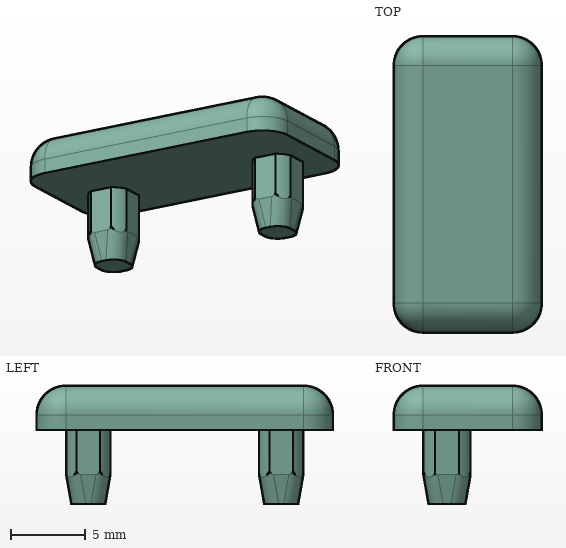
import cadquery as cq
import math

cap_width = 10.0
cap_length = 20.0
cap_height = 3.0
cap_radius = 2.0

peg_width = 3.2
peg_length = 3.0
peg_height = 5.0
peg_flat = 1.6
peg_corner_radius = 1.8
peg_center_x = -1.4
peg_center_y = cap_length / 2 - cap_radius - peg_length / 2

tip_height = 2.0
tip_angle = 10.0
tip_edge_radius = 1.0
taper_overrun = 1.0


def make_cap():
    block = cq.Workplane("XY").box(cap_width, cap_length, cap_height, centered=(True, True, False))
    return block.edges("|Z").fillet(cap_radius).faces(">Z").edges().fillet(cap_radius)


def make_shank():
    """Prism with four flats joined by shallow arcs, hanging below the cap."""
    half_width = peg_width / 2
    half_length = peg_length / 2
    half_flat = peg_flat / 2
    return (
        cq.Workplane("XY")
        .moveTo(-half_flat, -half_length)
        .lineTo(half_flat, -half_length)
        .radiusArc((half_width, -half_flat), -peg_corner_radius)
        .lineTo(half_width, half_flat)
        .radiusArc((half_flat, half_length), -peg_corner_radius)
        .lineTo(-half_flat, half_length)
        .radiusArc((-half_width, half_flat), -peg_corner_radius)
        .lineTo(-half_width, -half_flat)
        .radiusArc((-half_flat, -half_length), -peg_corner_radius)
        .close()
        .extrude(-peg_height)
    )


def make_taper():
    """Downward-narrowing frustum that meets the shank sides at the top of the tip."""
    widening = 2 * taper_overrun * math.tan(math.radians(tip_angle))
    frustum = (
        cq.Workplane("XY", origin=(0, 0, tip_height + taper_overrun - peg_height))
        .rect(peg_width + widening, peg_length + widening)
        .extrude(-(tip_height + taper_overrun), taper=tip_angle)
    )
    slanted_edges = frustum.edges("not #Z")
    return slanted_edges.fillet(tip_edge_radius)


def make_peg():
    straight_height = peg_height - tip_height - taper_overrun
    upper_block = (
        cq.Workplane("XY")
        .rect(peg_width, peg_length)
        .extrude(-straight_height)
    )
    shank = make_shank()
    upper_shank = shank.intersect(upper_block)
    trimmed_tip = shank.intersect(make_taper())
    return upper_shank.union(trimmed_tip)


result = make_cap()
peg = make_peg()
for side in (-1, 1):
    result = result.union(peg.translate((peg_center_x, side * peg_center_y, 0)))